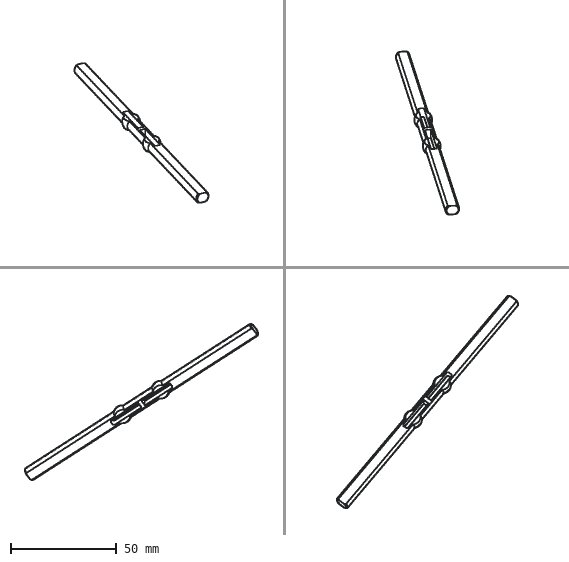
import cadquery as cq

bar_length = 131.25
rod_diameter = 6.67
bar_height = 5.0
end_chamfer = 0.5

bulge_diameter = 8.54
bulge_offset = 11.1
bulge_length = 5.5

web_thickness = 2.0
slot_length = 16.2
slot_width = 2.8
slot_corner_radius = 0.75

rod_radius = rod_diameter / 2
bulge_radius = bulge_diameter / 2


def make_rod():
    """Full round rod along X with chamfered ends."""
    rod = cq.Workplane("YZ").circle(rod_radius).extrude(bar_length / 2, both=True)
    return rod.faces("<X or >X").chamfer(end_chamfer)


def make_bulge(center_x):
    """Collar whose arched profile meets the rod surface at both ends."""
    return (
        cq.Workplane("XY")
        .moveTo(center_x - bulge_length / 2, 0)
        .lineTo(center_x - bulge_length / 2, rod_radius)
        .threePointArc((center_x, bulge_radius), (center_x + bulge_length / 2, rod_radius))
        .lineTo(center_x + bulge_length / 2, 0)
        .close()
        .revolve(360, (0, 0, 0), (1, 0, 0))
    )


def make_flats_envelope():
    """Slab that keeps only the material between the two flats."""
    return cq.Workplane("XY").box(bar_length, bulge_diameter, bar_height)


def make_slot(side):
    """Window beside the web, with its two outer corners rounded."""
    center_x = side * (web_thickness + slot_length) / 2
    outer_edges = "|Z and >X" if side > 0 else "|Z and <X"
    return (
        cq.Workplane("XY")
        .box(slot_length, slot_width, bar_height)
        .edges(outer_edges)
        .fillet(slot_corner_radius)
        .translate((center_x, 0, 0))
    )


body = make_rod()
for side in (-1, 1):
    body = body.union(make_bulge(side * bulge_offset))
body = body.intersect(make_flats_envelope())
for side in (-1, 1):
    body = body.cut(make_slot(side))

result = body